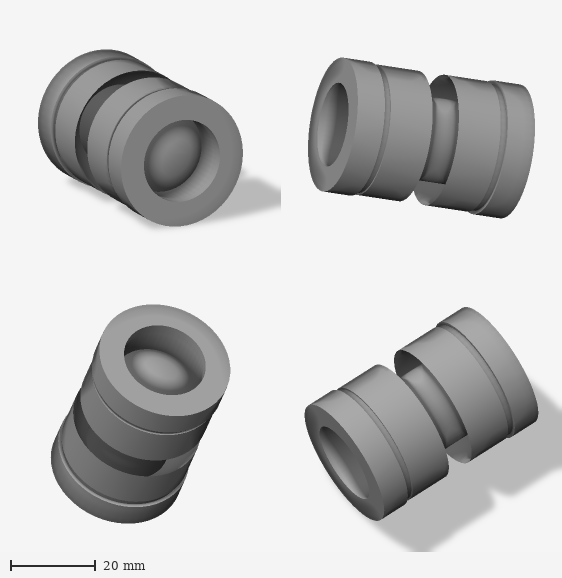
import cadquery as cq
import math

length = 45.0
collar_diameter = 32.0
land_diameter = 31.2
groove_diameter = 30.3
bore_diameter = 20.0

collar_width = 6.9
groove_width = 1.65
gap_width = 6.65

dome_overlap = 0.1

half_length = length / 2
bore_radius = bore_diameter / 2
land_radius = land_diameter / 2
groove_radius = groove_diameter / 2
collar_radius = collar_diameter / 2

cavity_radius = math.hypot(land_radius, gap_width / 2)
dome_radius = cavity_radius + dome_overlap


def point_on_sphere(sphere_radius, angle):
    """Profile point on a sphere about the origin, at an angle from the X axis."""
    return (sphere_radius * math.cos(angle), sphere_radius * math.sin(angle))


def revolve_about_x(profile):
    return profile.revolve(360, (0, 0, 0), (1, 0, 0))


def sleeve():
    """Sleeve at the +X end: collar, groove and land, with a spherical inner end."""
    bore_angle = math.asin(bore_radius / cavity_radius)
    rim_angle = math.asin(land_radius / cavity_radius)
    groove_outer_x = half_length - collar_width
    groove_inner_x = groove_outer_x - groove_width
    profile = (
        cq.Workplane("XY")
        .moveTo(*point_on_sphere(cavity_radius, bore_angle))
        .lineTo(half_length, bore_radius)
        .lineTo(half_length, collar_radius)
        .lineTo(groove_outer_x, collar_radius)
        .lineTo(groove_outer_x, groove_radius)
        .lineTo(groove_inner_x, groove_radius)
        .lineTo(groove_inner_x, land_radius)
        .lineTo(gap_width / 2, land_radius)
        .threePointArc(
            point_on_sphere(cavity_radius, (bore_angle + rim_angle) / 2),
            point_on_sphere(cavity_radius, bore_angle),
        )
        .close()
    )
    return revolve_about_x(profile)


def half_core():
    """Half of the round core, from the middle plane to the dome closing the +X bore."""
    edge_angle = math.asin(bore_radius / dome_radius)
    profile = (
        cq.Workplane("XY")
        .lineTo(0, bore_radius)
        .lineTo(*point_on_sphere(dome_radius, edge_angle))
        .threePointArc(
            point_on_sphere(dome_radius, edge_angle / 2),
            point_on_sphere(dome_radius, 0),
        )
        .close()
    )
    return revolve_about_x(profile)


half = sleeve().union(half_core())
result = half.union(half.mirror("YZ")).clean()